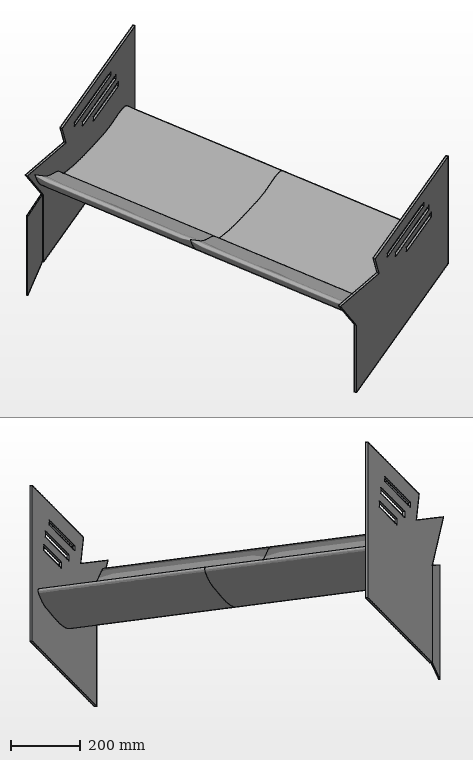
import cadquery as cq
import math

overall_span = 1030.0
plate_thickness = 7.0
half_inner_span = overall_span / 2 - plate_thickness

plate_rear_y = 551.0
plate_top_z = 479.0
notch_top_y = 112.0
notch_bottom = (136.0, 390.0)
plate_peak = (-96.0, 485.0)
front_edge_top_z = 301.0

louvre_slots = [
    (405.0, 186.0, 411.0, 425.0),
    (437.0, 236.0, 362.0, 380.0),
    (451.0, 301.0, 315.0, 334.0),
]

flap_reach = 132.0
flap_front_top_z = 353.0
flap_thickness = 4.0
flap_inward_shift = 24.0

main_trailing_edge = (87.0, 291.0)
main_section = [
    (147.0, 256.0),
    (295.0, 209.0),
    (412.0, 190.0),
    (482.0, 186.0),
    (501.0, 174.0),
    (479.0, 157.0),
    (412.0, 143.0),
    (314.0, 139.0),
    (221.0, 159.0),
    (149.0, 214.0),
]
upper_trailing_edge = (-50.0, 443.0)
upper_section = [
    (-8.0, 393.0),
    (41.0, 346.0),
    (84.0, 317.0),
    (93.0, 307.0),
    (81.0, 301.0),
    (41.0, 309.0),
    (-10.0, 354.0),
]


def make_end_plate(outer_side_x):
    """Notched upright plate with three slots, starting at its -X face."""
    outline = [
        (0, 0),
        (plate_rear_y, 0),
        (plate_rear_y, plate_top_z),
        (notch_top_y, plate_top_z),
        notch_bottom,
        plate_peak,
        (0, front_edge_top_z),
    ]
    face_plane = cq.Workplane("YZ", origin=(outer_side_x, 0, 0))
    plate = face_plane.polyline(outline).close().extrude(plate_thickness)
    for rear_y, front_y, bottom_z, top_z in louvre_slots:
        slot = (
            face_plane.center((rear_y + front_y) / 2, (bottom_z + top_z) / 2)
            .rect(rear_y - front_y, top_z - bottom_z)
            .extrude(plate_thickness)
        )
        plate = plate.cut(slot)
    return plate.val()


def make_angled_flap():
    """Thin upright sheet leaning inward from the left plate, with a sloping top edge."""
    flap_angle = math.atan2(flap_inward_shift, flap_reach)
    width_in_x = flap_thickness / math.cos(flap_angle)
    plate_outer_x = -overall_span / 2
    footprint = [
        (plate_outer_x, 0),
        (plate_outer_x + width_in_x, 0),
        (plate_outer_x + width_in_x + flap_inward_shift, -flap_reach),
        (plate_outer_x + flap_inward_shift, -flap_reach),
    ]
    sheet = cq.Workplane("XY").polyline(footprint).close().extrude(flap_front_top_z)
    side_outline = [
        (0, 0),
        (-flap_reach, 0),
        (-flap_reach, flap_front_top_z),
        (0, front_edge_top_z),
    ]
    side_prism = (
        cq.Workplane("YZ", origin=(plate_outer_x, 0, 0))
        .polyline(side_outline)
        .close()
        .extrude(width_in_x + flap_inward_shift)
    )
    return sheet.intersect(side_prism).val()


def make_wing_half(start_x, trailing_edge, section):
    """Half-span aerofoil whose smooth section is closed at the sharp trailing edge."""
    return (
        cq.Workplane("YZ", origin=(start_x, 0, 0))
        .spline([trailing_edge, *section, trailing_edge])
        .close()
        .extrude(half_inner_span)
        .val()
    )


end_plates = [make_end_plate(x) for x in (-overall_span / 2, half_inner_span)]
angled_flap = make_angled_flap()

half_starts = (-half_inner_span, 0)
main_wing_halves = [make_wing_half(x, main_trailing_edge, main_section) for x in half_starts]
upper_wing_halves = [make_wing_half(x, upper_trailing_edge, upper_section) for x in half_starts]

result = cq.Compound.makeCompound(
    [*end_plates, angled_flap, *main_wing_halves, *upper_wing_halves]
)